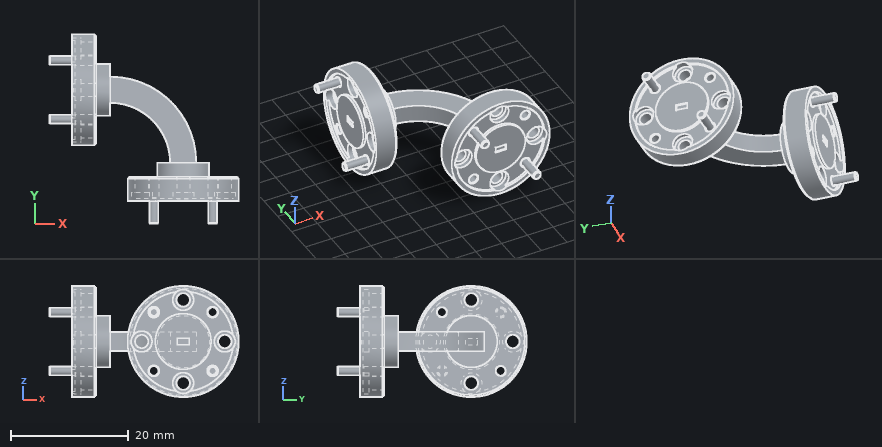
import cadquery as cq
import math

overall_size = 32.45

flange_diameter = 19.05
flange_thickness = 4.15
flange_chamfer = 0.35
collar_diameter = 8.9
collar_length = 2.4

boss_diameter = 9.55
groove_diameter = 17.13
groove_depth = 0.5

port_width = 2.05
port_height = 1.05
port_depth = 0.25

hole_circle_radius = 7.1
screw_hole_diameter = 2.27
counterbore_diameter = 3.57
counterbore_depth = 1.5
pin_diameter = 1.55
pin_length = 3.9
pin_root_depth = flange_thickness / 2
pin_chamfer_length = 0.23
pin_chamfer_radial = 0.13
alignment_hole_diameter = 1.62
countersink_depth = 0.13
countersink_diameter = alignment_hole_diameter + 2 * countersink_depth
screw_angles = (0, 90, 180, 270)
pin_angles = (135, 315)
alignment_hole_angles = (45, 225)

tube_width = 4.5
tube_height = 3.3

flange_depth = flange_thickness + collar_length
collar_end = pin_length + flange_depth
bend_radius = overall_size - flange_diameter / 2 - collar_end


def on_hole_circle(angles):
    """Points on the hole circle at the given angles in degrees."""
    return [
        (
            hole_circle_radius * math.cos(math.radians(angle)),
            hole_circle_radius * math.sin(math.radians(angle)),
        )
        for angle in angles
    ]


def cylinders(points, diameter, start, height):
    """Parallel cylinders along local Z, one at each point."""
    return (
        cq.Workplane("XY", origin=(0, 0, start))
        .pushPoints(points)
        .circle(diameter / 2)
        .extrude(height)
    )


def countersinks(points):
    """Cones that break the rims of the alignment holes and the pin seats at the groove floor."""
    cones = cq.Workplane("XY")
    for x, y in points:
        cone = cq.Solid.makeCone(
            countersink_diameter / 2,
            countersink_diameter / 2 - countersink_depth,
            countersink_depth,
            pnt=cq.Vector(x, y, -groove_depth),
            dir=cq.Vector(0, 0, -1),
        )
        cones = cones.add(cone)
    return cones.combine()


def make_pins():
    """Alignment pins with chamfered tips, rooted inside the flange."""
    return (
        cylinders(on_hole_circle(pin_angles), pin_diameter, -pin_root_depth, pin_root_depth + pin_length)
        .faces(">Z")
        .chamfer(pin_chamfer_length, pin_chamfer_radial)
    )


def make_flange():
    """One flange with its pins; mating face at local Z = 0, collar towards -Z."""
    disc = (
        cq.Workplane("XY")
        .circle(flange_diameter / 2)
        .extrude(-flange_thickness)
        .faces("<Z")
        .chamfer(flange_chamfer)
    )
    collar = cq.Workplane("XY").circle(collar_diameter / 2).extrude(-flange_depth)
    groove = (
        cq.Workplane("XY")
        .circle(groove_diameter / 2)
        .circle(boss_diameter / 2)
        .extrude(-groove_depth)
    )
    port = cq.Workplane("XY").rect(port_width, port_height).extrude(-port_depth)

    screw_points = on_hole_circle(screw_angles)
    alignment_points = on_hole_circle(alignment_hole_angles)
    pin_points = on_hole_circle(pin_angles)
    return (
        disc.union(collar)
        .cut(groove)
        .cut(port)
        .cut(cylinders(screw_points, screw_hole_diameter, 0, -flange_thickness))
        .cut(cylinders(screw_points, counterbore_diameter, 0, -counterbore_depth))
        .cut(cylinders(alignment_points, alignment_hole_diameter, 0, -flange_thickness))
        .cut(countersinks(alignment_points + pin_points))
        .union(make_pins())
    )


def place_flange(origin, across, outward):
    """Flange with its mating-face centre at origin, port width along across, facing outward."""
    location = cq.Plane(origin=origin, xDir=across, normal=outward).location
    return make_flange().val().moved(location)


def make_tube():
    """Solid rectangular tube bent through a quarter turn about the vertical axis."""
    return (
        cq.Workplane("XZ")
        .center(bend_radius, 0)
        .rect(tube_width, tube_height)
        .revolve(90, (-bend_radius, 0, 0), (-bend_radius, 1, 0))
    )


tube = make_tube()
flanges = [
    place_flange((-flange_depth, bend_radius, 0), (0, -1, 0), (-1, 0, 0)),
    place_flange((bend_radius, -flange_depth, 0), (1, 0, 0), (0, -1, 0)),
]

result = cq.Compound.makeCompound([tube.val(), *flanges])